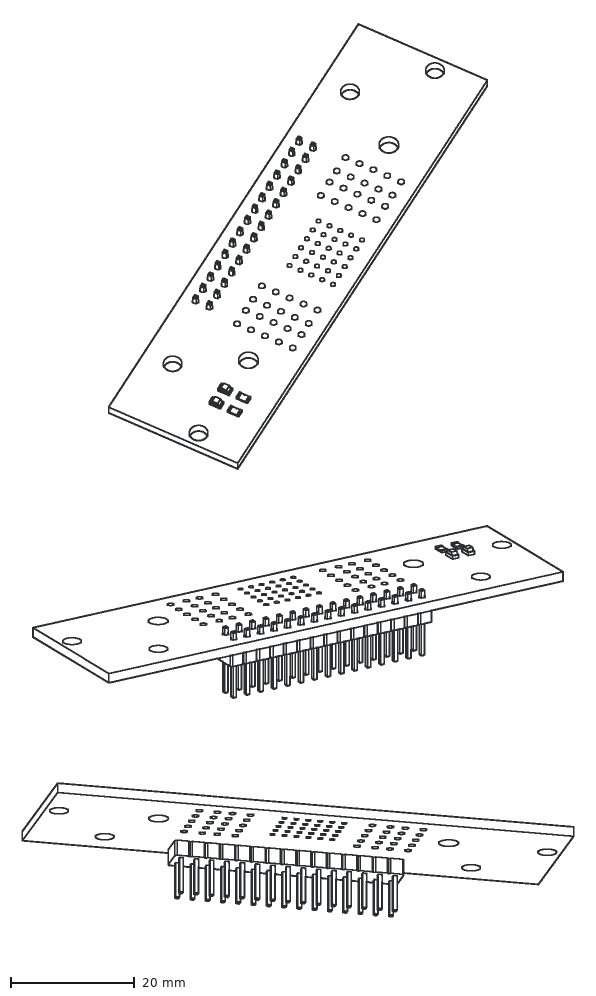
import cadquery as cq

BOARD_X = 23.6
BOARD_Y = 85.85
BOARD_Z = 1.6

MOUNT_DIAMETER = 3.0
END_MOUNT_X = 3.4
END_MOUNT_Y = 40.6
SIDE_MOUNT_X = -6.7
SIDE_MOUNT_Y = 30.5
GUIDE_DIAMETER = 3.2
GUIDE_X = 3.8
GUIDE_Y = 24.1

HEADER_LENGTH = 38.1
PIN_ROWS = 15
PIN_COLUMNS = 2
PITCH = HEADER_LENGTH / PIN_ROWS
HEADER_X = -8.0
HEADER_WIDTH = PIN_COLUMNS * PITCH
HEADER_HEIGHT = 2.6
NOTCH = 0.3
PIN_SIDE = 0.64
PIN_LENGTH = 11.5
PIN_ABOVE_BOARD = 1.3
PIN_TIP = 0.2
PIN_HOLE_DIAMETER = 1.0

CONTACT_DIAMETER = 1.0
CONTACT_X = 3.9
CONTACT_COLUMNS = 5
CONTACT_ROWS_Y = (10.1, 13.1, 15.6, 18.6)

SMALL_DIAMETER = 0.75
SMALL_COLUMNS = 5
SMALL_ROWS = 6
SMALL_FIELD_Y = 10.0
SMALL_PITCH = SMALL_FIELD_Y / (SMALL_ROWS - 1)
SMALL_CENTER = (4.8, 0.5)

CHIP_ROWS_Y = (-31.2, -34.2)
CHIP_LENGTH = 2.1
CHIP_WIDTH = 1.2
LAMP_X = 3.3
LAMP_BASE_HEIGHT = 0.5
DOME_HEIGHT = 0.5
DOME_FOOT = 1.6
DOME_TOP = 1.0
DOME_WIDTH = 1.0
RESISTOR_X = 6.6
RESISTOR_HEIGHT = 0.35
TERMINAL_LENGTH = 0.35
TERMINAL_STEP = 0.1


def mirrored(x, y):
    """A pair of points at +Y and -Y."""
    return [(x, y), (x, -y)]


def header_points():
    """Centres of all header pins."""
    grid = cq.Workplane("XY").center(HEADER_X, 0).rarray(PITCH, PITCH, PIN_COLUMNS, PIN_ROWS)
    return [point.toTuple()[:2] for point in grid.vals()]


def drill(body, points, diameter):
    """Cut round holes right through the board."""
    return body.cut(cq.Workplane("XY").pushPoints(points).circle(diameter / 2).extrude(BOARD_Z))


def make_board():
    board = cq.Workplane("XY").box(BOARD_X, BOARD_Y, BOARD_Z, centered=(True, True, False))
    mounts = mirrored(END_MOUNT_X, END_MOUNT_Y) + mirrored(SIDE_MOUNT_X, SIDE_MOUNT_Y)
    board = drill(board, mounts, MOUNT_DIAMETER)
    board = drill(board, mirrored(GUIDE_X, GUIDE_Y), GUIDE_DIAMETER)

    contacts = []
    for column in range(CONTACT_COLUMNS):
        x = CONTACT_X + (column - (CONTACT_COLUMNS - 1) / 2) * PITCH
        for y in CONTACT_ROWS_Y:
            contacts += mirrored(x, y)
    board = drill(board, contacts, CONTACT_DIAMETER)

    small_holes = (
        cq.Workplane("XY")
        .center(*SMALL_CENTER)
        .rarray(SMALL_PITCH, SMALL_PITCH, SMALL_COLUMNS, SMALL_ROWS)
        .circle(SMALL_DIAMETER / 2)
        .extrude(BOARD_Z)
    )
    board = board.cut(small_holes)
    return drill(board, header_points(), PIN_HOLE_DIAMETER)


def make_header():
    block = (
        cq.Workplane("XY")
        .box(HEADER_WIDTH, PITCH, HEADER_HEIGHT, centered=(True, True, False))
        .edges("|Z")
        .chamfer(NOTCH)
        .translate((HEADER_X, 0, -HEADER_HEIGHT))
    )
    header = cq.Workplane("XY")
    for row in range(PIN_ROWS):
        header = header.union(block.translate((0, (row - (PIN_ROWS - 1) / 2) * PITCH, 0)))

    pin = (
        cq.Workplane("XY")
        .box(PIN_SIDE, PIN_SIDE, PIN_LENGTH, centered=(True, True, False))
        .faces("<Z or >Z")
        .chamfer(PIN_TIP)
        .translate((0, 0, BOARD_Z + PIN_ABOVE_BOARD - PIN_LENGTH))
    )
    for x, y in header_points():
        header = header.union(pin.translate((x, y, 0)))
    return header


def make_lamp(y):
    """Light-emitting chip: a flat base with a narrower dome whose two ends slope inward."""
    base = cq.Workplane("XY").box(CHIP_LENGTH, CHIP_WIDTH, LAMP_BASE_HEIGHT, centered=(True, True, False))
    dome = (
        cq.Workplane("XZ")
        .polyline([
            (-DOME_FOOT / 2, LAMP_BASE_HEIGHT),
            (DOME_FOOT / 2, LAMP_BASE_HEIGHT),
            (DOME_TOP / 2, LAMP_BASE_HEIGHT + DOME_HEIGHT),
            (-DOME_TOP / 2, LAMP_BASE_HEIGHT + DOME_HEIGHT),
        ])
        .close()
        .extrude(DOME_WIDTH / 2, both=True)
    )
    return base.union(dome).translate((LAMP_X, y, BOARD_Z))


def make_resistor(y):
    """Chip resistor: a flat block whose end terminals stand slightly above the middle."""
    block = cq.Workplane("XY").box(CHIP_LENGTH, CHIP_WIDTH, RESISTOR_HEIGHT, centered=(True, True, False))
    recess = (
        cq.Workplane("XY", origin=(0, 0, RESISTOR_HEIGHT - TERMINAL_STEP))
        .rect(CHIP_LENGTH - 2 * TERMINAL_LENGTH, CHIP_WIDTH)
        .extrude(TERMINAL_STEP)
    )
    return block.cut(recess).translate((RESISTOR_X, y, BOARD_Z))


board = make_board()
header = make_header()
lamps = [make_lamp(y) for y in CHIP_ROWS_Y]
resistors = [make_resistor(y) for y in CHIP_ROWS_Y]

result = cq.Compound.makeCompound(
    [board.val(), header.val()] + [chip.val() for chip in lamps + resistors]
)